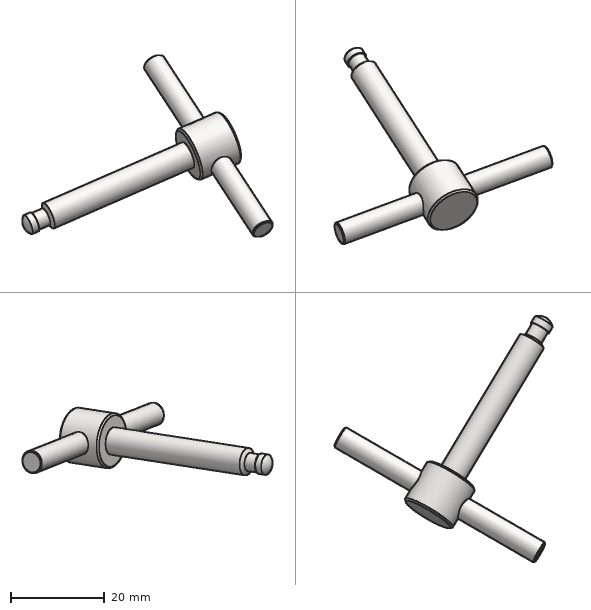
import cadquery as cq
import math

total_length = 50.0
handle_length = 50.0

head_diameter = 12.0
head_length = 10.0
head_chamfer = 0.4

handle_diameter = 5.0
handle_chamfer = 0.25

shaft_diameter = 6.0
shaft_taper_length = 0.6
neck_diameter = 4.0
neck_length = 2.8
tip_diameter = 4.5
tip_band_length = 1.6
dome_height = 1.0

head_back = head_length / 2
tip_end = head_back - total_length
dome_base = tip_end + dome_height
neck_front = dome_base + tip_band_length
shaft_end = neck_front + neck_length


def make_head():
    head = cq.Workplane("XZ", origin=(0, head_back, 0)).circle(head_diameter / 2).extrude(head_length)
    return head.faces("<Y or >Y").chamfer(head_chamfer)


def make_handle():
    handle = cq.Workplane("YZ").circle(handle_diameter / 2).extrude(handle_length / 2, both=True)
    return handle.faces("<X or >X").chamfer(handle_chamfer)


def make_spindle():
    """Shaft, neck and domed tip revolved about Y, starting inside the head."""
    shaft_radius = shaft_diameter / 2
    neck_radius = neck_diameter / 2
    tip_radius = tip_diameter / 2
    dome_radius = (tip_radius**2 + dome_height**2) / (2 * dome_height)
    dome_center = tip_end + dome_radius
    half_angle = math.asin(tip_radius / dome_radius) / 2
    dome_mid = (dome_radius * math.sin(half_angle), dome_center - dome_radius * math.cos(half_angle))

    profile = (
        cq.Workplane("XY")
        .moveTo(0, 0)
        .lineTo(shaft_radius, 0)
        .lineTo(shaft_radius, shaft_end + shaft_taper_length)
        .lineTo(neck_radius, shaft_end)
        .lineTo(neck_radius, neck_front)
        .lineTo(tip_radius, neck_front)
        .lineTo(tip_radius, dome_base)
        .threePointArc(dome_mid, (0, tip_end))
        .close()
    )
    return profile.revolve(360, (0, 0, 0), (0, 1, 0))


result = make_head().union(make_handle()).union(make_spindle())